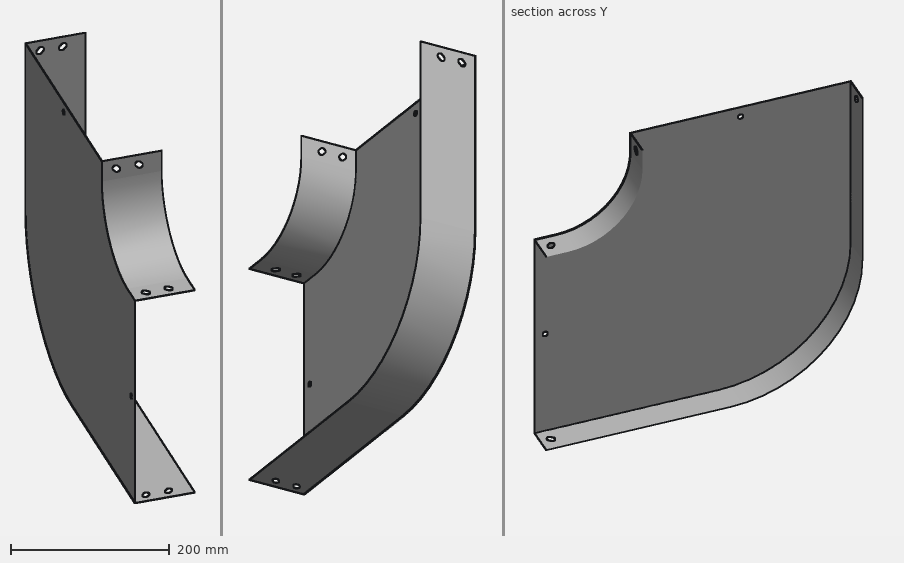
import cadquery as cq
import math

size = 430.0
depth = 80.0
sheet = 1.0
leg_width = 300.0
outer_radius = 180.0
inner_radius = 100.0

plate_hole_diameter = 7.0
wall_slot_length = 11.0
wall_slot_width = 7.7
wall_slot_angle = 45
hole_inset = 14.5
wall_slot_offsets = (30.0, 60.0)


def wall_path(corner, radius):
    """Open path down the X = corner face, round the bend and along the Z = corner face."""
    centre = corner + radius
    arc_middle = centre - radius * math.sqrt(0.5)
    return (
        cq.Workplane("XZ")
        .moveTo(corner, size)
        .lineTo(corner, centre)
        .threePointArc((arc_middle, arc_middle), (centre, corner))
        .lineTo(size, corner)
    )


def outside_of(corner, radius):
    """Solid block beyond a wall path, filling up to the far corner of the part."""
    return wall_path(corner, radius).lineTo(size, size).close().extrude(-depth)


def wall(corner, radius):
    """Bent sheet whose lower-left face follows the given path."""
    return outside_of(corner, radius).cut(outside_of(corner + sheet, radius - sheet))


def plate_hole(x, z):
    return cq.Workplane("XZ").center(x, z).circle(plate_hole_diameter / 2).extrude(-sheet)


def slot_pair(plane, centres, angle):
    """Two slot cutters reaching from the plane through half the width of a leg."""
    return (
        cq.Workplane(plane)
        .pushPoints(centres)
        .slot2D(wall_slot_length, wall_slot_width, angle)
        .extrude(leg_width / 2)
    )


def wall_slots():
    """Slots at the open end of each leg, those in facing walls leaning opposite ways."""
    end = size - hole_inset
    upright_leg = [(depth - offset, end) for offset in wall_slot_offsets]
    level_leg = [(end, depth - offset) for offset in wall_slot_offsets]
    to_inner_wall = leg_width / 2
    outer_x = slot_pair("YZ", upright_leg, wall_slot_angle)
    inner_x = slot_pair("YZ", upright_leg, -wall_slot_angle).translate((to_inner_wall, 0, 0))
    outer_z = slot_pair("XY", level_leg, -wall_slot_angle)
    inner_z = slot_pair("XY", level_leg, wall_slot_angle).translate((0, 0, to_inner_wall))
    return outer_x.union(inner_x).union(outer_z).union(inner_z)


plate_outline = outside_of(0, outer_radius).cut(outside_of(leg_width, inner_radius))
plate = plate_outline.intersect(cq.Workplane("XY").box(size, sheet, size, centered=False))

inner_wall = wall(leg_width - sheet, inner_radius + sheet)
result = plate.union(wall(0, outer_radius)).union(inner_wall).cut(wall_slots())

hole_along_leg = leg_width / 2
hole_at_end = size - hole_inset
for x, z in ((hole_along_leg, hole_at_end), (hole_at_end, hole_along_leg)):
    result = result.cut(plate_hole(x, z))